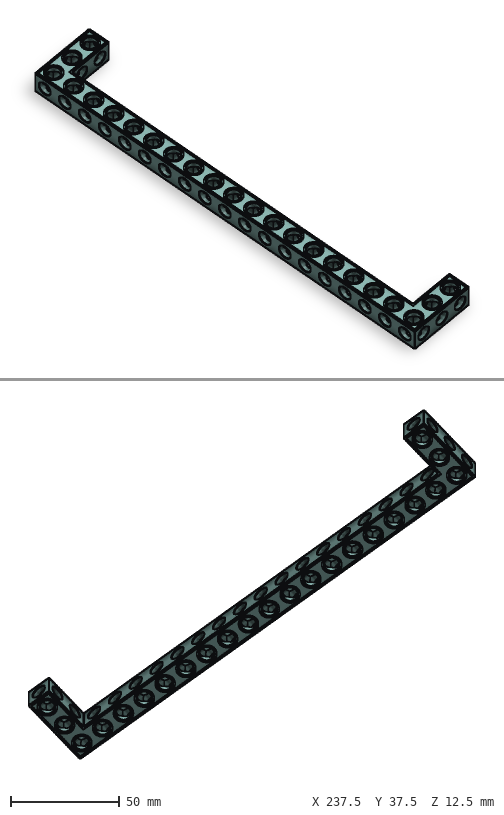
import cadquery as cq

length = 237.5
beam_modules = 19
arm_modules = 3
pitch = length / beam_modules
arm_length = arm_modules * pitch
half_pitch = pitch / 2

rim_width = 1.15
rim_height = 0.2
rim_diameter = 9.3

hole_diameter = rim_diameter - 2 * rim_width
edge_chamfer = 0.3

beam_centers = [half_pitch + i * pitch for i in range(beam_modules)]
arm_centers = [half_pitch + j * pitch for j in range(arm_modules)]
arm_x_positions = (beam_centers[0], beam_centers[-1])

vertical_hole_points = [(x, half_pitch) for x in beam_centers]
vertical_hole_points += [(x, y) for x in arm_x_positions for y in arm_centers[1:]]


def u_prism(bottom, height, inset=0.0):
    """U-shaped prism whose outline is drawn in from the part's outline by inset."""
    near = inset
    inner = pitch - inset
    arm_end = arm_length - inset
    points = [
        (near, near),
        (length - near, near),
        (length - near, arm_end),
        (length - inner, arm_end),
        (length - inner, inner),
        (inner, inner),
        (inner, arm_end),
        (near, arm_end),
    ]
    return cq.Workplane("XY", origin=(0, 0, bottom)).polyline(points).close().extrude(height)


def vertical_cylinders(diameter, bottom, height):
    """One cylinder along Z at every module centre."""
    plane = cq.Workplane("XY", origin=(0, 0, bottom))
    return plane.pushPoints(vertical_hole_points).circle(diameter / 2).extrude(height)


def holes_along_y():
    """Bores through the beam; the two end ones run on through the arms."""
    points = [(x, half_pitch) for x in beam_centers]
    return cq.Workplane("XZ").pushPoints(points).circle(hole_diameter / 2).extrude(-arm_length)


def holes_along_x():
    """Bores through both arms; the first one runs the whole length of the beam."""
    points = [(y, half_pitch) for y in arm_centers]
    return cq.Workplane("YZ").pushPoints(points).circle(hole_diameter / 2).extrude(length)


def face_recess(bottom):
    """Cutter for the recess in one face, leaving the rims standing."""
    pocket = u_prism(bottom, rim_height, rim_width)
    return pocket.cut(vertical_cylinders(rim_diameter, bottom, rim_height))


body = u_prism(0, pitch)
body = body.cut(vertical_cylinders(hole_diameter, 0, pitch))
body = body.cut(holes_along_y())
body = body.cut(holes_along_x())

body = body.faces("|X or |Y or |Z").edges().chamfer(edge_chamfer)

for recess_bottom in (0, pitch - rim_height):
    body = body.cut(face_recess(recess_bottom))

result = cq.Workplane("XY").newObject([body.solids().val()])